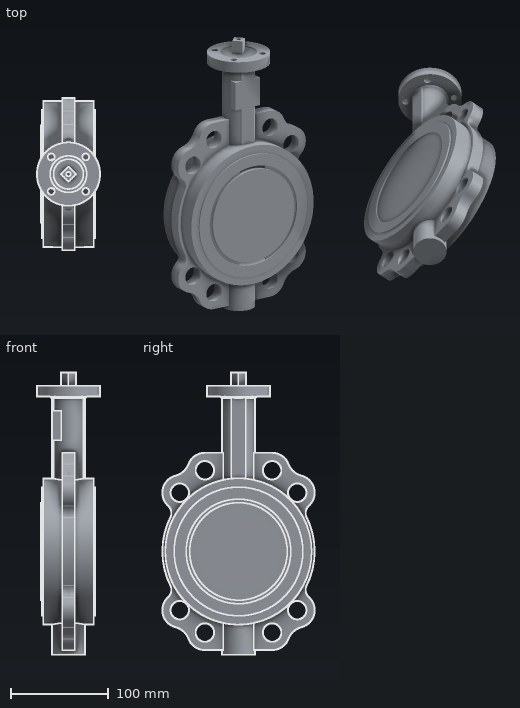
import cadquery as cq
import math


ring_radius = 75.0
ring_half_width = 26.0
seat_radius = 66.0
seat_bore_radius = 53.6
seat_height = 1.6
seat_half_width = ring_half_width + seat_height

plate_thickness = 13.0
plate_radius = 78.17
lug_radius = 18.0
lug_hole_diameter = 18.7
upper_bolt_radius = 90.0
upper_bolt_angle = math.radians(67.5)
side_bolt_radius = 85.1
side_bolt_angle = math.radians(45.0)
lug_to_lug_fillet = 20.0
lug_to_plate_fillet = 10.0

neck_radius = 17.0
boss_bottom = -106.0
overall_height = 289.49
rib_half_width = 7.5
pad_half_width = 15.2
pad_bottom = 114.0
pad_top = 144.0

flange_diameter = 65.0
flange_top = 170.0
flange_thickness = 11.3
flange_bottom = flange_top - flange_thickness
flange_bevel = 2.0
flange_bolt_circle = 50.0
flange_hole_diameter = 7.0
flange_hole_count = 4
flange_first_hole_angle = 45.0
flange_recess_diameter = 37.5
flange_recess_depth = 1.0
recess_floor = flange_top - flange_recess_depth

disc_radius = 50.0
disc_front = -28.4
disc_back = ring_half_width

pocket_half_width = 15.7
pocket_depth = 3.0

stem_square = 11.0
stem_square_turn = 45.0
stem_top = boss_bottom + overall_height
stem_radius = stem_square / math.sqrt(2)
stem_bottom = -90.0
collar_diameter = 30.6
collar_thickness = 6.0
collar_bottom = recess_floor - collar_thickness
centre_hole_diameter = 4.6
centre_hole_depth = 8.0


def polar(radius, angle):
    return (radius * math.cos(angle), radius * math.sin(angle))


def toward(start, end, distance):
    """Point at a distance from start on the line to end."""
    length = math.dist(start, end)
    return tuple(s + (e - s) * distance / length for s, e in zip(start, end))


def arc_middle(centre, radius, first, last):
    """Middle of the shorter arc between two points of a circle."""
    chord_middle = tuple((a + b) / 2 for a, b in zip(first, last))
    return toward(centre, chord_middle, radius)


def fillet_centre(first, first_radius, second, second_radius, fillet):
    """Centre of a fillet touching two circles from outside, right of the line from first to second."""
    span = math.dist(first, second)
    first_reach = first_radius + fillet
    second_reach = second_radius + fillet
    along = (first_reach**2 - second_reach**2 + span**2) / (2 * span)
    across = math.sqrt(first_reach**2 - along**2)
    ux = (second[0] - first[0]) / span
    uy = (second[1] - first[1]) / span
    return (first[0] + along * ux + across * uy, first[1] + along * uy - across * ux)


def cylinder_x(radius, x_start, x_end):
    return cq.Workplane("YZ").workplane(offset=x_start).circle(radius).extrude(x_end - x_start)


def cylinder_z(radius, z_start, z_end):
    return cq.Workplane("XY").workplane(offset=z_start).circle(radius).extrude(z_end - z_start)


def box(x_range, y_range, z_range):
    size = [high - low for low, high in (x_range, y_range, z_range)]
    return cq.Workplane("XY").box(*size, centered=False).translate((x_range[0], y_range[0], z_range[0]))


def lug_plate():
    centre = (0.0, 0.0)
    side_lug = polar(side_bolt_radius, side_bolt_angle)
    upper_lug = polar(upper_bolt_radius, upper_bolt_angle)
    low_fillet = fillet_centre(centre, plate_radius, side_lug, lug_radius, lug_to_plate_fillet)
    high_fillet = fillet_centre(side_lug, lug_radius, upper_lug, lug_radius, lug_to_lug_fillet)

    plate_side = (plate_radius, 0.0)
    plate_end = toward(centre, low_fillet, plate_radius)
    side_start = toward(side_lug, low_fillet, lug_radius)
    side_end = toward(side_lug, high_fillet, lug_radius)
    upper_start = toward(upper_lug, high_fillet, lug_radius)
    upper_end = (upper_lug[0], upper_lug[1] + lug_radius)

    quarter = (
        cq.Workplane("YZ")
        .workplane(offset=-plate_thickness / 2)
        .moveTo(*centre)
        .lineTo(*plate_side)
        .threePointArc(arc_middle(centre, plate_radius, plate_side, plate_end), plate_end)
        .threePointArc(arc_middle(low_fillet, lug_to_plate_fillet, plate_end, side_start), side_start)
        .threePointArc(arc_middle(side_lug, lug_radius, side_start, side_end), side_end)
        .threePointArc(arc_middle(high_fillet, lug_to_lug_fillet, side_end, upper_start), upper_start)
        .threePointArc(arc_middle(upper_lug, lug_radius, upper_start, upper_end), upper_end)
        .lineTo(0.0, upper_end[1])
        .close()
        .extrude(plate_thickness)
    )
    quarter = quarter.cut(
        cq.Workplane("YZ")
        .workplane(offset=-plate_thickness / 2)
        .pushPoints([side_lug, upper_lug])
        .circle(lug_hole_diameter / 2)
        .extrude(plate_thickness)
    )
    upper_half = quarter.union(quarter.mirror("XZ"))
    return upper_half.union(upper_half.mirror("XY"))


def neck():
    column = cylinder_z(neck_radius, boss_bottom, flange_bottom)
    rib = box((-neck_radius, neck_radius), (-rib_half_width, rib_half_width), (0, flange_bottom))
    pad = box((-neck_radius, 0), (-pad_half_width, pad_half_width), (pad_bottom, pad_top))
    return column.union(rib).union(pad)


def actuator_flange():
    plate = cylinder_z(flange_diameter / 2, flange_bottom, flange_top)
    bevel = (
        cq.Workplane("XY")
        .workplane(offset=flange_bottom - flange_bevel)
        .circle(neck_radius)
        .workplane(offset=flange_bevel)
        .circle(neck_radius + flange_bevel)
        .loft()
    )
    holes = (
        cq.Workplane("XY")
        .workplane(offset=flange_bottom)
        .polarArray(flange_bolt_circle / 2, flange_first_hole_angle, 360, flange_hole_count)
        .circle(flange_hole_diameter / 2)
        .extrude(flange_thickness)
    )
    recess = cylinder_z(flange_recess_diameter / 2, recess_floor, flange_top)
    return plate.union(bevel).cut(holes).cut(recess)


def ledge_pockets():
    """Cone narrowing inward from the seat bore, kept only close to the stem axis."""
    cone = (
        cq.Workplane("YZ")
        .workplane(offset=-ring_half_width)
        .circle(seat_bore_radius)
        .workplane(offset=pocket_depth)
        .circle(disc_radius)
        .loft()
    )
    strip = box(
        (-ring_half_width, -ring_half_width + pocket_depth),
        (-pocket_half_width, pocket_half_width),
        (-seat_bore_radius, seat_bore_radius),
    )
    return cone.intersect(strip)


def stem_envelope():
    """Round shaft with its collar; also the shape of the hole that holds the stem."""
    shaft = cylinder_z(stem_radius, stem_bottom, recess_floor)
    collar = cylinder_z(collar_diameter / 2, collar_bottom, recess_floor)
    return shaft.union(collar)


def make_housing():
    body = cylinder_x(ring_radius, -ring_half_width, ring_half_width)
    body = body.union(lug_plate()).union(neck()).union(actuator_flange())
    body = body.union(cylinder_x(seat_radius, -seat_half_width, seat_half_width))
    body = body.cut(cylinder_x(seat_bore_radius, -seat_half_width, -ring_half_width))
    body = body.cut(cylinder_x(seat_bore_radius, ring_half_width, seat_half_width))
    body = body.cut(cylinder_x(disc_radius, -ring_half_width, ring_half_width))
    return body.cut(ledge_pockets()).cut(stem_envelope())


def make_disc():
    return cylinder_x(disc_radius, disc_front, disc_back).cut(stem_envelope())


def make_stem():
    square = (
        cq.Workplane("XY")
        .workplane(offset=recess_floor)
        .transformed(rotate=(0, 0, stem_square_turn))
        .rect(stem_square, stem_square)
        .extrude(stem_top - recess_floor)
    )
    centre_hole = cylinder_z(centre_hole_diameter / 2, stem_top - centre_hole_depth, stem_top)
    return stem_envelope().union(square).cut(centre_hole)


housing = make_housing()
disc = make_disc()
stem = make_stem()

result = cq.Compound.makeCompound([body.solids().val() for body in (housing, disc, stem)])